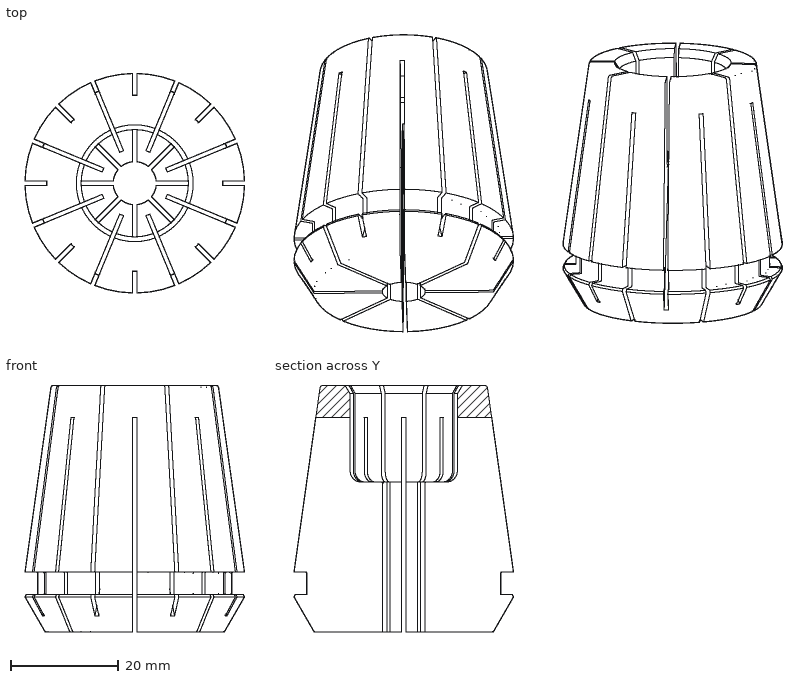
import cadquery as cq
import math

height = 46.0
max_radius = 20.5

taper_angle = 8.0
groove_bottom = 7.0
groove_top = 11.15
groove_radius = 18.1
groove_corner_round = 0.2
top_edge_round = 0.5
top_radius = max_radius - (height - groove_top) * math.tan(math.radians(taper_angle))

nose_angle = 30.0
nose_height = 6.55
nose_radius = max_radius - nose_height * math.tan(math.radians(nose_angle))
nose_edge_round = 0.2
flange_bevel = 0.25

slit_count = 8
slit_width = 0.8
slit_pitch = 360.0 / slit_count
bottom_slit_top = 40.0
top_slit_inner_radius = 6.4
top_slit_outer_height = 3.0
slit_overrun = 5.0

clamp_radius = 4.0
clamp_edge_round = 0.2
relief_radius = 10.0
relief_floor_round = 2.0
relief_floor = 28.0
mouth_radius = 10.9
mouth_depth = 1.5


def make_body():
    """Revolve the outer contour of the collet about Z."""
    outline = (
        cq.Workplane("XZ")
        .lineTo(nose_radius, 0)
        .lineTo(max_radius, nose_height)
        .lineTo(max_radius - flange_bevel, groove_bottom)
        .lineTo(groove_radius + groove_corner_round, groove_bottom)
        .radiusArc((groove_radius, groove_bottom + groove_corner_round), groove_corner_round)
        .lineTo(groove_radius, groove_top - groove_corner_round)
        .radiusArc((groove_radius + groove_corner_round, groove_top), groove_corner_round)
        .lineTo(max_radius, groove_top)
        .lineTo(top_radius, height)
        .lineTo(0, height)
        .close()
    )
    body = outline.revolve(360, (0, 0, 0), (0, 1, 0))
    body = body.faces(">Z").edges().fillet(top_edge_round)
    body = body.faces("<Z").edges().fillet(nose_edge_round)
    return body


def make_bore():
    """Revolve the stepped bore with its rounded floor and flared mouth."""
    arc_start = (relief_radius - relief_floor_round, relief_floor)
    arc_end = (relief_radius, relief_floor + relief_floor_round)
    outline = (
        cq.Workplane("XZ")
        .lineTo(clamp_radius, 0)
        .lineTo(clamp_radius, relief_floor - clamp_edge_round)
        .radiusArc((clamp_radius + clamp_edge_round, relief_floor), clamp_edge_round)
        .lineTo(*arc_start)
        .radiusArc(arc_end, -relief_floor_round)
        .lineTo(relief_radius, height - mouth_depth)
        .lineTo(mouth_radius, height)
        .lineTo(0, height)
        .close()
    )
    return outline.revolve(360, (0, 0, 0), (0, 1, 0))


def make_bottom_slit():
    """Full-depth radial slit from the bottom face, along +X."""
    length = max_radius + slit_overrun
    return cq.Workplane("XY").box(length, slit_width, bottom_slit_top, centered=(False, True, False))


def make_top_slit():
    """Radial slit from the top face, along +X, with a sloped end rising to the relief floor."""
    nose_radius_at_end = nose_radius + top_slit_outer_height * math.tan(math.radians(nose_angle))
    end_slope = (relief_floor - top_slit_outer_height) / (nose_radius_at_end - top_slit_inner_radius)
    outer_radius = max_radius + slit_overrun
    outer_end = relief_floor - (outer_radius - top_slit_inner_radius) * end_slope
    return (
        cq.Workplane("XZ")
        .moveTo(top_slit_inner_radius, relief_floor)
        .lineTo(outer_radius, outer_end)
        .lineTo(outer_radius, height)
        .lineTo(top_slit_inner_radius, height)
        .close()
        .extrude(slit_width / 2, both=True)
    )


def cut_around(part, slit, start_angle):
    """Cut equally spaced copies of a slit around Z."""
    for index in range(slit_count):
        angle = start_angle + index * slit_pitch
        part = part.cut(slit.rotate((0, 0, 0), (0, 0, 1), angle))
    return part


result = make_body().cut(make_bore())
result = cut_around(result, make_bottom_slit(), 0)
result = cut_around(result, make_top_slit(), slit_pitch / 2)